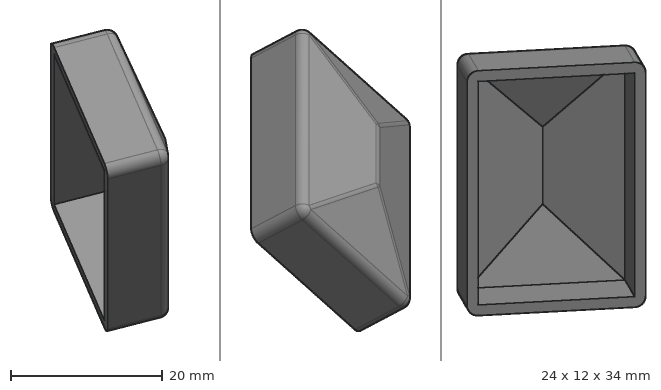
import cadquery as cq


width = 24.0
depth = 12.0
length = 34.0

wall = 1.5

cavity_width = width - 2 * wall
cavity_length = length - 2 * wall
cavity_depth = depth - wall

roof_rise = 3.13
ridge_length = 10.7
side_depth = cavity_depth - roof_rise


def make_cavity_box():
    """Straight-sided part of the cavity, from the rim to the eaves."""
    return cq.Workplane("XY").box(
        cavity_width, side_depth, cavity_length, centered=(True, False, True)
    )


def make_cavity_roof():
    """Hipped roof: a wedge that narrows along +Y to a ridge parallel to Z."""
    ridge_x = cavity_width / 2
    ridge_start = (cavity_length - ridge_length) / 2
    ridge_end = ridge_start + ridge_length
    roof = cq.Workplane("XY").wedge(
        cavity_width, roof_rise, cavity_length,
        ridge_x, ridge_start, ridge_x, ridge_end,
        centered=(True, False, True),
    )
    return roof.translate((0, side_depth, 0))


cavity = make_cavity_box().union(make_cavity_roof())
result = cavity.faces("<Y").shell(wall, kind="arc")